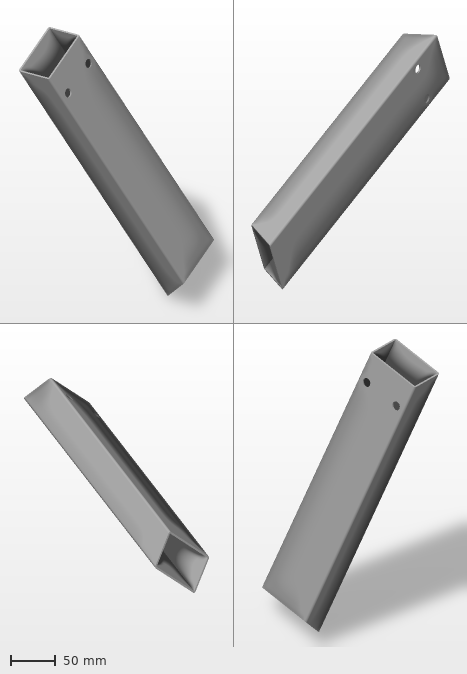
import cadquery as cq
import math

length_x = 212.5
width_y = 70.0
height_z = 313.5

top_corner_x = 39.8
left_corner_z = 302.3
bottom_corner_x = 191.0

wall = 2.0
outer_radius = 2.5

hole_diameter = 10.5
hole_spacing = 46.5
hole_distance = 45.2

lower_wall_length = math.hypot(bottom_corner_x, left_corner_z)
axis_x = bottom_corner_x / lower_wall_length
axis_z = -left_corner_z / lower_wall_length
axis_direction = cq.Vector(axis_x, 0, axis_z)
across_direction = cq.Vector(-axis_z, 0, axis_x)

right_corner_z = height_z + (length_x - top_corner_x) * axis_z / axis_x
top_corner_rise = height_z - left_corner_z
tube_depth = top_corner_x * across_direction.x + top_corner_rise * across_direction.z

lower_wall_top = cq.Vector(0, 0, left_corner_z)
overrun = 2 * tube_depth


def section_prism(depth, width):
    """Rectangular bar along the tube axis, longer than the tube."""
    start = lower_wall_top + across_direction * (tube_depth / 2) - axis_direction * overrun
    section_plane = cq.Plane(origin=start, xDir=across_direction, normal=axis_direction)
    return cq.Workplane(section_plane).rect(depth, width).extrude(lower_wall_length + 2 * overrun)


def mitred_outline():
    """Side outline of the tube, extruded over its full width."""
    corners = [
        (0, left_corner_z),
        (top_corner_x, height_z),
        (length_x, right_corner_z),
        (bottom_corner_x, 0),
    ]
    return cq.Workplane("XZ").polyline(corners).close().extrude(width_y / 2, both=True)


def fixing_holes():
    """Pair of cylinders square to the wide walls."""
    start = lower_wall_top + axis_direction * hole_distance - across_direction * tube_depth
    hole_plane = cq.Plane(origin=start, xDir=axis_direction, normal=across_direction)
    centres = [(0, -hole_spacing / 2), (0, hole_spacing / 2)]
    return cq.Workplane(hole_plane).pushPoints(centres).circle(hole_diameter / 2).extrude(3 * tube_depth)


along_axis = cq.selectors.ParallelDirSelector(axis_direction)
outer = section_prism(tube_depth, width_y).edges(along_axis).fillet(outer_radius)
bore = section_prism(tube_depth - 2 * wall, width_y - 2 * wall)
result = outer.cut(bore).intersect(mitred_outline()).cut(fixing_holes())